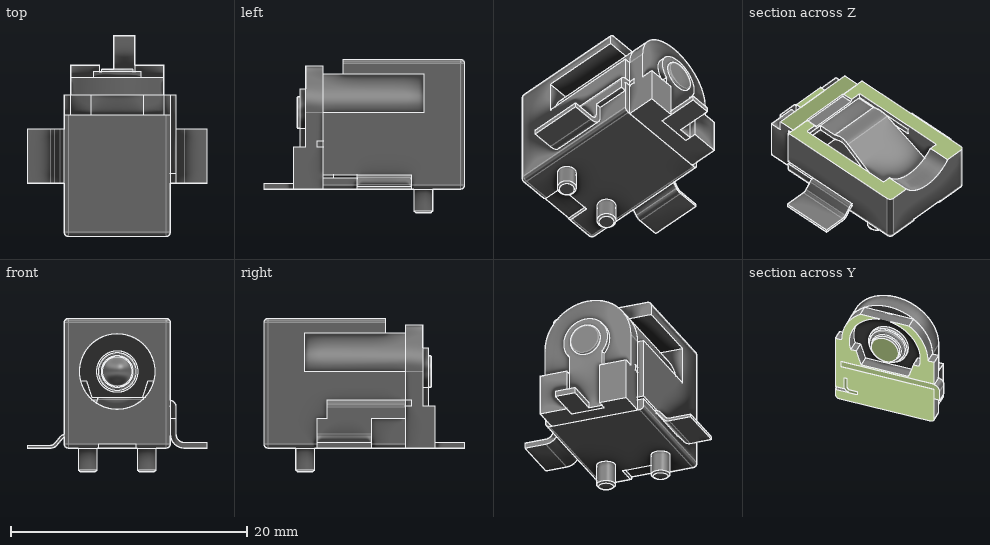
import cadquery as cq
import math


HOUSING_WIDTH = 9.0
HALF_WIDTH = HOUSING_WIDTH / 2
HOUSING_LENGTH = 11.98
HOUSING_HEIGHT = 11.0
EDGE_RADIUS = 0.37
AXIS_Z = 6.5
BORE_DIAMETER = 6.4
BARREL_RADIUS = 3.95
BARREL_TOP_Z = 9.75
ROOF_END_Y = 10.3
GROOVE_FRONT_Y = 3.43
FRONT_WALL = 2.04
CAVITY_BACK_Y = 11.0
CAVITY_FLOOR_Z = 1.25
CAVITY_TOP_Z = 5.68
WINDOW_TOP_HALF_WIDTH = 2.58
WINDOW_BOTTOM_HALF_WIDTH = 2.15
WINDOW_BOTTOM_Z = 4.3
NOTCH_WIDTH = 3.2
PEG_DIAMETER = 1.6
PEG_LENGTH = 2.0
PEG_CHAMFER = 0.17
PEG_X = 2.5
PEG_Y = 3.5

PLUG_BACK_Y = 13.46
LEG_BACK_Y = 14.5
LEG_TOP_Z = 3.59
LEG_GAP = 3.0

SHEET = 0.5
THIN_SHEET = 0.25
FOOT_REACH = 7.6
FOOT_FRONT_Y = 4.5
FOOT_BACK_Y = 9.11

TERMINAL_HEAD_RADIUS = 2.0
TERMINAL_END_Y = 17.0
TERMINAL_FOOT_WIDTH = 1.8

SHANK_DIAMETER = 2.5
RIVET_DIAMETER = 2.7
COLLAR_DIAMETER = 3.2
SEAT_DIAMETER = 3.5
PIN_TIP_Y = 0.75
RIVET_END_Y = 14.18
PIN_STEP = 0.3
PIN_ROUND = 0.1

CONTACT_BOTTOM_Z = LEG_TOP_Z
CONTACT_TOP_Z = CONTACT_BOTTOM_Z + SHEET
CONTACT_BACK_Y = HOUSING_LENGTH + SHEET
STRIP_FRONT_Y = 5.34
TAB_TOP_Z = 2.5
FOOT_BEND_RADIUS = 0.7
TOP_BEND_RADIUS = 0.1
TONGUE_FRONT_Y = 2.4
TONGUE_SLOPE = math.radians(24)
TONGUE_CREST_Y = 8.43
TONGUE_CREST_Z = WINDOW_BOTTOM_Z
TONGUE_CREST_RADIUS = 1.87
TONGUE_ROOT_LEFT_X = -1.6
TONGUE_FREE_LEFT_X = -2.28
TONGUE_CLEARANCE = 0.1

LEAF_TOP_Z = 1.22
LEAF_BEND_RADIUS = 0.42
RAMP_BOTTOM_X = -5.44
RAMP_TOP_X = -4.62
LEAF_END_X = -2.5
LIP_X = -3.7
LIP_TOP_Z = 2.4
LIP_BEND_RADIUS = 0.25
LIP_BACK_Y = 11.12


def block(x_range, y_range, z_range):
    """Rectangular block between the given limits."""
    size = [high - low for low, high in (x_range, y_range, z_range)]
    corner = (x_range[0], y_range[0], z_range[0])
    return cq.Workplane("XY").box(*size, centered=False).translate(corner)


def prism_y(points, y_range):
    """Polygon in X and Z, extruded along Y."""
    plane = cq.Workplane("XZ", origin=(0, y_range[0], 0))
    return plane.polyline(points).close().extrude(y_range[0] - y_range[1])


def cylinder_y(diameter, y_range):
    """Cylinder on the socket axis."""
    plane = cq.Workplane("XZ", origin=(0, y_range[0], AXIS_Z))
    return plane.circle(diameter / 2).extrude(y_range[0] - y_range[1])


def round_corner(strip, x, z, radius):
    """Fillet the edge along Y that passes through (x, z)."""
    near = 0.008
    box = cq.selectors.BoxSelector(
        (x - near, 0, z - near), (x + near, HOUSING_LENGTH, z + near)
    )
    return strip.edges("|Y").edges(box).fillet(radius)


def make_housing():
    span_x = (-HALF_WIDTH, HALF_WIDTH)
    body = block(span_x, (0, HOUSING_LENGTH), (0, HOUSING_HEIGHT))
    body = body.edges("|Y or <Y").fillet(EDGE_RADIUS)

    barrel = cylinder_y(2 * BARREL_RADIUS, (GROOVE_FRONT_Y, HOUSING_LENGTH))
    flanks = block(span_x, (GROOVE_FRONT_Y, HOUSING_LENGTH), (AXIS_Z, BARREL_TOP_Z)).cut(barrel)
    roof = block(span_x, (ROOF_END_Y, HOUSING_LENGTH), (BARREL_TOP_Z, HOUSING_HEIGHT))
    body = body.cut(flanks).cut(roof)

    bore_radius = BORE_DIAMETER / 2
    bore_x = (-bore_radius, bore_radius)
    bore = cylinder_y(BORE_DIAMETER, (0, HOUSING_LENGTH))
    rear_wall = block(bore_x, (CAVITY_BACK_Y, HOUSING_LENGTH), (CAVITY_FLOOR_Z, CAVITY_TOP_Z))
    cavity = block(bore_x, (FRONT_WALL, CAVITY_BACK_Y), (CAVITY_FLOOR_Z, CAVITY_TOP_Z))
    body = body.cut(bore.cut(rear_wall)).cut(cavity)

    window = [
        (-WINDOW_TOP_HALF_WIDTH, CAVITY_TOP_Z),
        (WINDOW_TOP_HALF_WIDTH, CAVITY_TOP_Z),
        (WINDOW_BOTTOM_HALF_WIDTH, WINDOW_BOTTOM_Z),
        (-WINDOW_BOTTOM_HALF_WIDTH, WINDOW_BOTTOM_Z),
    ]
    body = body.cut(prism_y(window, (CAVITY_BACK_Y, HOUSING_LENGTH)))

    notch_x = (-NOTCH_WIDTH / 2, NOTCH_WIDTH / 2)
    body = body.cut(block(notch_x, (0, FRONT_WALL), (0, EDGE_RADIUS)))

    slot_z = (LEAF_TOP_Z - THIN_SHEET, LEAF_TOP_Z)
    slot_x = (-HALF_WIDTH, LIP_X + LIP_BEND_RADIUS + THIN_SHEET)
    body = body.cut(block(slot_x, (FOOT_FRONT_Y, HOUSING_LENGTH), slot_z))

    for x in (-PEG_X, PEG_X):
        peg = cq.Workplane("XY").center(x, PEG_Y).circle(PEG_DIAMETER / 2).extrude(-PEG_LENGTH)
        body = body.union(peg.faces("<Z").chamfer(PEG_CHAMFER))
    return body


def make_plug():
    y_range = (HOUSING_LENGTH, PLUG_BACK_Y)
    side_x = (-BARREL_RADIUS, BARREL_RADIUS)
    plug = cylinder_y(2 * BARREL_RADIUS, y_range).union(block(side_x, y_range, (0, AXIS_Z)))
    for x_range in ((-BARREL_RADIUS, -LEG_GAP / 2), (LEG_GAP / 2, BARREL_RADIUS)):
        plug = plug.union(block(x_range, (PLUG_BACK_Y, LEG_BACK_Y), (0, LEG_TOP_Z)))
    return plug.cut(cylinder_y(RIVET_DIAMETER, y_range))


def make_rear_terminal():
    plate_y = (PLUG_BACK_Y, PLUG_BACK_Y + SHEET)
    strip_x = (-LEG_GAP / 2, LEG_GAP / 2)
    foot_x = (LEG_GAP / 2 - TERMINAL_FOOT_WIDTH, LEG_GAP / 2)
    plate = cylinder_y(2 * TERMINAL_HEAD_RADIUS, plate_y).union(block(strip_x, plate_y, (0, AXIS_Z)))
    foot = block(foot_x, (PLUG_BACK_Y, TERMINAL_END_Y), (0, SHEET))
    return plate.union(foot).cut(cylinder_y(RIVET_DIAMETER, plate_y))


def make_pin():
    """Half profile in (radius, Y), turned about the socket axis."""
    shank_r = SHANK_DIAMETER / 2
    rivet_r = RIVET_DIAMETER / 2
    collar_r = COLLAR_DIAMETER / 2
    seat_r = SEAT_DIAMETER / 2
    seat_y = HOUSING_LENGTH - PIN_STEP
    collar_y = seat_y - PIN_STEP
    nose_y = PIN_TIP_Y + shank_r
    nose_slant = shank_r * math.sqrt(0.5)
    round_slant = PIN_ROUND * (1 - math.sqrt(0.5))
    return (
        cq.Workplane("XY", origin=(0, 0, AXIS_Z))
        .moveTo(0, PIN_TIP_Y)
        .threePointArc((nose_slant, nose_y - nose_slant), (shank_r, nose_y))
        .lineTo(shank_r, collar_y - PIN_ROUND)
        .lineTo(rivet_r, collar_y)
        .lineTo(collar_r - PIN_ROUND, collar_y)
        .threePointArc(
            (collar_r - round_slant, collar_y + round_slant), (collar_r, collar_y + PIN_ROUND)
        )
        .lineTo(collar_r, seat_y)
        .lineTo(seat_r, seat_y)
        .lineTo(seat_r, HOUSING_LENGTH)
        .lineTo(rivet_r, HOUSING_LENGTH)
        .lineTo(rivet_r, RIVET_END_Y - PIN_ROUND)
        .threePointArc(
            (rivet_r - round_slant, RIVET_END_Y - round_slant), (rivet_r - PIN_ROUND, RIVET_END_Y)
        )
        .lineTo(0, RIVET_END_Y)
        .close()
        .revolve(360, (0, 0, 0), (0, 1, 0))
    )


def make_tongue_contact():
    wall_x = HALF_WIDTH
    outer_x = HALF_WIDTH + SHEET
    cavity_x = BORE_DIAMETER / 2

    tab_profile = [
        (FOOT_REACH, 0),
        (wall_x, 0),
        (wall_x, TAB_TOP_Z),
        (outer_x, TAB_TOP_Z),
        (outer_x, SHEET),
        (FOOT_REACH, SHEET),
    ]
    tab = prism_y(tab_profile, (FOOT_FRONT_Y, FOOT_BACK_Y))
    tab = round_corner(tab, wall_x, 0, FOOT_BEND_RADIUS + SHEET)
    tab = round_corner(tab, outer_x, SHEET, FOOT_BEND_RADIUS)

    strip_profile = [
        (wall_x, TAB_TOP_Z),
        (outer_x, TAB_TOP_Z),
        (outer_x, CONTACT_TOP_Z),
        (cavity_x, CONTACT_TOP_Z),
        (cavity_x, CONTACT_BOTTOM_Z),
        (wall_x, CONTACT_BOTTOM_Z),
    ]
    strip = prism_y(strip_profile, (STRIP_FRONT_Y, HOUSING_LENGTH))
    strip = round_corner(strip, outer_x, CONTACT_TOP_Z, TOP_BEND_RADIUS + SHEET)
    strip = round_corner(strip, wall_x, CONTACT_BOTTOM_Z, TOP_BEND_RADIUS)

    plate_x = (-BARREL_RADIUS, BARREL_RADIUS)
    plate = block(plate_x, (CAVITY_BACK_Y, CONTACT_BACK_Y), (CONTACT_BOTTOM_Z, CONTACT_TOP_Z))

    tongue_right_x = cavity_x - TONGUE_CLEARANCE
    outer_radius = TONGUE_CREST_RADIUS
    inner_radius = outer_radius - SHEET
    center_z = TONGUE_CREST_Z - outer_radius
    outer_run = math.sqrt(outer_radius**2 - (CONTACT_TOP_Z - center_z) ** 2)
    inner_run = math.sqrt(inner_radius**2 - (CONTACT_BOTTOM_Z - center_z) ** 2)
    outer_root = (TONGUE_CREST_Y + outer_run, CONTACT_TOP_Z)
    inner_root = (TONGUE_CREST_Y + inner_run, CONTACT_BOTTOM_Z)

    def on_crest(radius):
        """Point where the arch of this radius turns into the slope."""
        y = TONGUE_CREST_Y - radius * math.sin(TONGUE_SLOPE)
        z = center_z + radius * math.cos(TONGUE_SLOPE)
        return (y, z)

    def at_free_end(radius):
        """Point where the slope tangent to this radius ends."""
        y, z = on_crest(radius)
        return (TONGUE_FRONT_Y, z - (y - TONGUE_FRONT_Y) * math.tan(TONGUE_SLOPE))

    slope = (
        cq.Workplane("YZ")
        .moveTo(CAVITY_BACK_Y, CONTACT_TOP_Z)
        .lineTo(*outer_root)
        .threePointArc((TONGUE_CREST_Y, center_z + outer_radius), on_crest(outer_radius))
        .lineTo(*at_free_end(outer_radius))
        .lineTo(*at_free_end(inner_radius))
        .lineTo(*on_crest(inner_radius))
        .threePointArc((TONGUE_CREST_Y, center_z + inner_radius), inner_root)
        .lineTo(CAVITY_BACK_Y, CONTACT_BOTTOM_Z)
        .close()
        .extrude(HALF_WIDTH, both=True)
    )
    outline = [
        (TONGUE_ROOT_LEFT_X, CAVITY_BACK_Y),
        (TONGUE_ROOT_LEFT_X, TONGUE_CREST_Y),
        (TONGUE_FREE_LEFT_X, TONGUE_FRONT_Y),
        (tongue_right_x, TONGUE_FRONT_Y),
        (tongue_right_x, CAVITY_BACK_Y),
    ]
    tongue = slope.intersect(cq.Workplane("XY").polyline(outline).close().extrude(HOUSING_HEIGHT))
    return tab.union(strip).union(plate).union(tongue)


def make_switch_contact():
    leaf_bottom_z = LEAF_TOP_Z - THIN_SHEET
    ramp_angle = math.atan2(leaf_bottom_z, RAMP_TOP_X - RAMP_BOTTOM_X)
    miter = THIN_SHEET * math.tan(ramp_angle / 2)

    leaf_profile = [
        (-FOOT_REACH, 0),
        (RAMP_BOTTOM_X + miter, 0),
        (RAMP_TOP_X + miter, leaf_bottom_z),
        (LEAF_END_X, leaf_bottom_z),
        (LEAF_END_X, LEAF_TOP_Z),
        (RAMP_TOP_X, LEAF_TOP_Z),
        (RAMP_BOTTOM_X, THIN_SHEET),
        (-FOOT_REACH, THIN_SHEET),
    ]
    leaf = prism_y(leaf_profile, (FOOT_FRONT_Y, FOOT_BACK_Y))
    leaf = round_corner(leaf, RAMP_BOTTOM_X + miter, 0, LEAF_BEND_RADIUS + THIN_SHEET)
    leaf = round_corner(leaf, RAMP_BOTTOM_X, THIN_SHEET, LEAF_BEND_RADIUS)
    leaf = round_corner(leaf, RAMP_TOP_X, LEAF_TOP_Z, LEAF_BEND_RADIUS + THIN_SHEET)
    leaf = round_corner(leaf, RAMP_TOP_X + miter, leaf_bottom_z, LEAF_BEND_RADIUS)

    lip_profile = [
        (LEAF_END_X, leaf_bottom_z),
        (LIP_X, leaf_bottom_z),
        (LIP_X, LIP_TOP_Z),
        (LIP_X + THIN_SHEET, LIP_TOP_Z),
        (LIP_X + THIN_SHEET, LEAF_TOP_Z),
        (LEAF_END_X, LEAF_TOP_Z),
    ]
    lip = prism_y(lip_profile, (FOOT_BACK_Y, LIP_BACK_Y))
    lip = round_corner(lip, LIP_X, leaf_bottom_z, LIP_BEND_RADIUS + THIN_SHEET)
    lip = round_corner(lip, LIP_X + THIN_SHEET, LEAF_TOP_Z, LIP_BEND_RADIUS)
    return leaf.union(lip)


tongue_contact = make_tongue_contact()
switch_contact = make_switch_contact()
rear_terminal = make_rear_terminal()
pin = make_pin()

housing = make_housing().cut(tongue_contact).cut(switch_contact)
plug = make_plug().cut(tongue_contact)

result = cq.Compound.makeCompound(
    [
        housing.val(),
        plug.val(),
        pin.val(),
        rear_terminal.val(),
        tongue_contact.val(),
        switch_contact.val(),
    ]
)